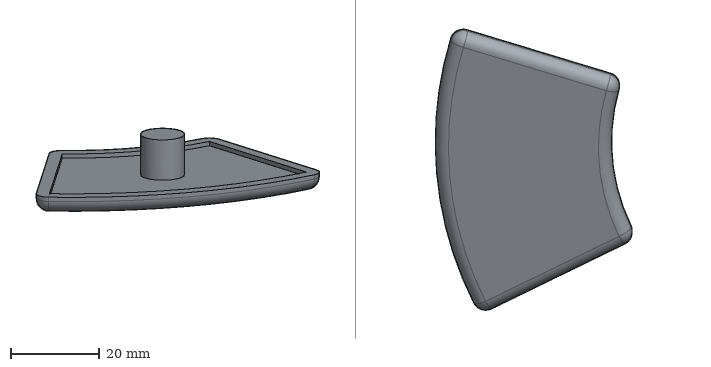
import cadquery as cq
import math

sector_angle = 45.0
inner_radius = 51.5
outer_radius = 85.5
side_gap = 2.4

rim_width = 3.0
plate_thickness = 4.0
pocket_depth = 1.0

pin_diameter = 10.0
total_height = 12.5


def sector_point(radius, angle):
    """Point at an angle in degrees below the +X axis."""
    turn = math.radians(angle)
    return (radius * math.cos(turn), -radius * math.sin(turn))


def sector_outline():
    """Ring sector whose straight sides are inset by the side gap."""
    middle = sector_angle / 2
    inner_inset = math.degrees(math.asin(side_gap / inner_radius))
    outer_inset = math.degrees(math.asin(side_gap / outer_radius))
    return (
        cq.Workplane("XY")
        .moveTo(*sector_point(inner_radius, inner_inset))
        .lineTo(*sector_point(outer_radius, outer_inset))
        .threePointArc(
            sector_point(outer_radius, middle),
            sector_point(outer_radius, sector_angle - outer_inset),
        )
        .lineTo(*sector_point(inner_radius, sector_angle - inner_inset))
        .threePointArc(
            sector_point(inner_radius, middle),
            sector_point(inner_radius, inner_inset),
        )
        .close()
    )


plate = sector_outline().offset2D(rim_width, "arc").extrude(plate_thickness)
plate = plate.faces("<Z").edges().fillet(rim_width)

floor_height = plate_thickness - pocket_depth
pocket = sector_outline().extrude(pocket_depth).translate((0, 0, floor_height))

pin_center = sector_point((inner_radius + outer_radius) / 2, sector_angle / 2)
pin = (
    cq.Workplane("XY", origin=(*pin_center, floor_height))
    .circle(pin_diameter / 2)
    .extrude(total_height - floor_height)
)

result = plate.cut(pocket).union(pin)